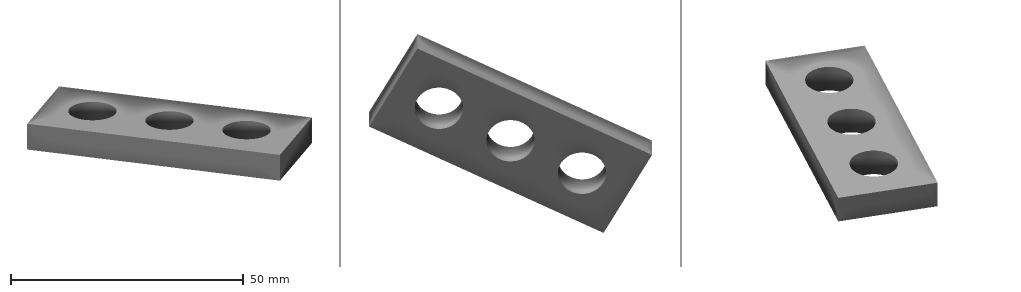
import cadquery as cq

length = 57.15
width = 22.25
thickness = 6.0

hole_diameter = 10.4
hole_spacing = 17.45
hole_count = 3

plate = cq.Workplane("XY").box(length, width, thickness)

result = (
    plate.faces(">Z")
    .workplane()
    .rarray(hole_spacing, 0.6, hole_count, 1)
    .hole(hole_diameter)
)